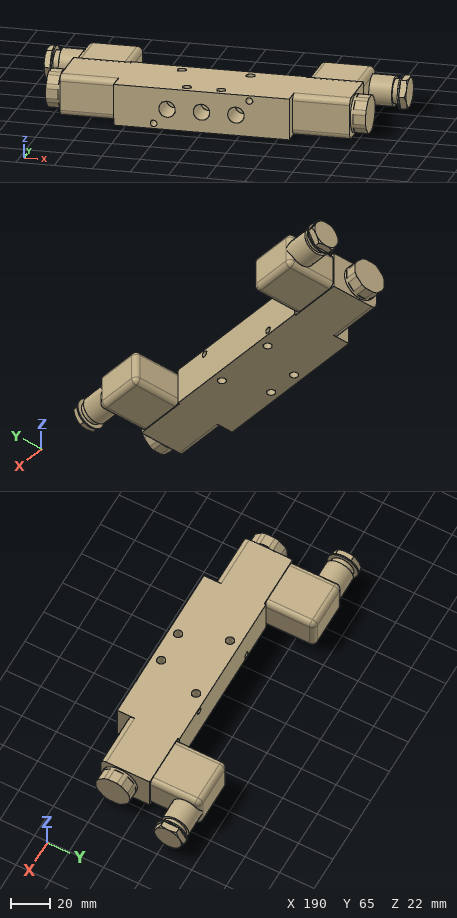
import cadquery as cq
import math

BODY_HEIGHT = 22.0
BLOCK_LENGTH = 92.2
BLOCK_DEPTH = 36.1
COIL_LENGTH = 152.0
COIL_FRONT_Y = 6.8
COIL_BACK_Y = 35.2
COIL_FILLET = 3.2

CAP_LENGTH = 168.0
CAP_AXIS_Y = 18.0
CAP_DIAMETER = 20.0
CAP_COLLAR = 1.3
CAP_FLAT_COUNT = 8
CAP_FLAT_HALF_ANGLE = 15.0

PORT_DIAMETER = 8.5
PORT_DEPTH = 15.2
PORT_SPACING = 18.0
MOUNT_DIAMETER = 4.5
MOUNT_FRONT_X = PORT_SPACING / 2
MOUNT_FRONT_Y = 5.3
MOUNT_BACK_X = PORT_SPACING
MOUNT_BACK_Y = 30.4
CROSS_DIAMETER = 3.5
CROSS_X = 25.0
CROSS_Z = 8.2

PLUG_INNER_X = 46.4
PLUG_OUTER_X = 75.5
PLUG_BACK_Y = 64.0
PLUG_HEIGHT = 21.0
PLUG_FILLET = 3.0

OVERALL_LENGTH = 190.0
TUBE_DIAMETER = 16.0
GLAND_AXIS_Y = PLUG_BACK_Y - TUBE_DIAMETER / 2
TUBE_END_X = 87.4
NECK_DIAMETER = 13.1
WASHER_START_X = 90.6
NUT_START_X = 91.4
NUT_END_X = OVERALL_LENGTH / 2
NUT_SIDES = 6
NUT_ACROSS_CORNERS = 17.9
NUT_ACROSS_FLATS = NUT_ACROSS_CORNERS * math.cos(math.pi / NUT_SIDES)
NUT_CHAMFER_ANGLE = 30.0


def box(x_range, y_range, height):
    """Block spanning the given X and Y ranges, centred on Z = 0."""
    (x0, x1), (y0, y1) = x_range, y_range
    return cq.Workplane("XY").box(x1 - x0, y1 - y0, height).translate(((x0 + x1) / 2, (y0 + y1) / 2, 0))


def rod(diameter, x0, x1, axis_y):
    """Cylinder along X from x0 to x1."""
    return cq.Workplane("YZ", origin=(x0, axis_y, 0)).circle(diameter / 2).extrude(x1 - x0)


def make_cap():
    """Round cap on the +X end, with flats spaced around its rim beyond the collar."""
    coil_end = COIL_LENGTH / 2
    cap_end = CAP_LENGTH / 2
    cap = rod(CAP_DIAMETER, coil_end, cap_end, CAP_AXIS_Y)

    flats_start = coil_end + CAP_COLLAR
    flat_distance = CAP_DIAMETER / 2 * math.cos(math.radians(CAP_FLAT_HALF_ANGLE))
    cutter = box(
        (flats_start, cap_end),
        (CAP_AXIS_Y + flat_distance, CAP_AXIS_Y + CAP_DIAMETER),
        CAP_DIAMETER,
    )
    for index in range(CAP_FLAT_COUNT):
        angle = index * 360 / CAP_FLAT_COUNT
        cap = cap.cut(cutter.rotate((0, CAP_AXIS_Y, 0), (1, CAP_AXIS_Y, 0), angle))
    return cap


def cut_holes(body):
    """Ports in the front face, vertical mounting holes and front-to-back cross holes."""
    port_points = [(-PORT_SPACING, 0), (0, 0), (PORT_SPACING, 0)]
    ports = cq.Workplane("XZ").pushPoints(port_points).circle(PORT_DIAMETER / 2).extrude(-PORT_DEPTH)

    cross_points = [(-CROSS_X, -CROSS_Z), (CROSS_X, CROSS_Z)]
    crosses = cq.Workplane("XZ").pushPoints(cross_points).circle(CROSS_DIAMETER / 2).extrude(-BLOCK_DEPTH)

    mount_points = [
        (-MOUNT_FRONT_X, MOUNT_FRONT_Y),
        (MOUNT_FRONT_X, MOUNT_FRONT_Y),
        (-MOUNT_BACK_X, MOUNT_BACK_Y),
        (MOUNT_BACK_X, MOUNT_BACK_Y),
    ]
    mounts = cq.Workplane("XY").pushPoints(mount_points).circle(MOUNT_DIAMETER / 2)
    mounts = mounts.extrude(BODY_HEIGHT / 2, both=True)
    return body.cut(ports).cut(crosses).cut(mounts)


def make_valve_body():
    """Centre block, coil sections and end caps as one solid."""
    coils = box((-COIL_LENGTH / 2, COIL_LENGTH / 2), (COIL_FRONT_Y, COIL_BACK_Y), BODY_HEIGHT)
    coils = coils.faces("<Y").edges("|X").fillet(COIL_FILLET)
    block = box((-BLOCK_LENGTH / 2, BLOCK_LENGTH / 2), (0, BLOCK_DEPTH), BODY_HEIGHT)
    cap = make_cap()
    body = coils.union(block).union(cap).union(cap.mirror("YZ"))
    return cut_holes(body)


def make_gland_nut():
    """Hexagon with corners toward +Y and -Y, its outer end chamfered to a circle."""
    length = NUT_END_X - NUT_START_X
    hexagon = cq.Workplane("YZ", origin=(NUT_START_X, GLAND_AXIS_Y, 0))
    hexagon = hexagon.polygon(NUT_SIDES, NUT_ACROSS_CORNERS).extrude(length)

    corner_cut = (NUT_ACROSS_CORNERS - NUT_ACROSS_FLATS) / 2
    chamfer_length = corner_cut * math.tan(math.radians(NUT_CHAMFER_ANGLE))
    envelope = rod(NUT_ACROSS_CORNERS, NUT_START_X, NUT_END_X, GLAND_AXIS_Y)
    envelope = envelope.faces(">X").chamfer(chamfer_length, corner_cut)
    return hexagon.intersect(envelope)


def make_plug():
    """Connector plug on the +X side: rounded housing with a cable gland."""
    housing = box((PLUG_INNER_X, PLUG_OUTER_X), (COIL_BACK_Y, PLUG_BACK_Y), PLUG_HEIGHT)
    housing = housing.edges("|Y or >Y").fillet(PLUG_FILLET)

    tube_start = PLUG_OUTER_X - PLUG_FILLET
    tube = rod(TUBE_DIAMETER, tube_start, TUBE_END_X, GLAND_AXIS_Y)
    neck = rod(NECK_DIAMETER, TUBE_END_X, WASHER_START_X, GLAND_AXIS_Y)
    washer = rod(NUT_ACROSS_CORNERS, WASHER_START_X, NUT_START_X, GLAND_AXIS_Y)
    return housing.union(tube).union(neck).union(washer).union(make_gland_nut())


valve_body = make_valve_body()

right_plug = make_plug()
plugs = []
for mirrored in (False, True):
    plug = right_plug.mirror("YZ") if mirrored else right_plug
    plugs.append(plug.val())

result = cq.Compound.makeCompound([valve_body.val(), *plugs])